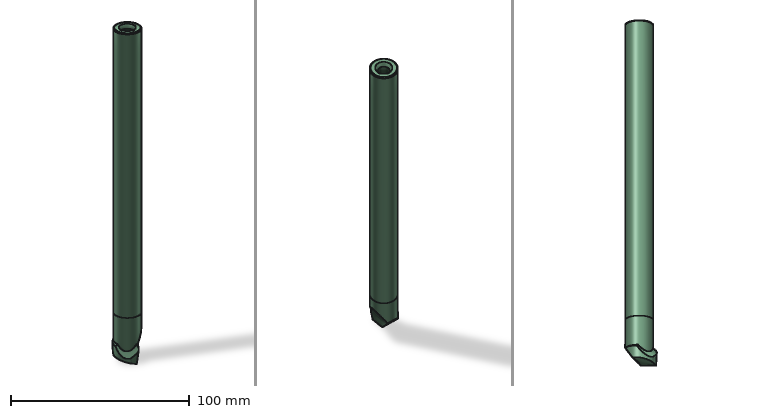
import cadquery as cq

total_length = 204.5
shank_diameter = 16.0
shank_radius = shank_diameter / 2
head_length = 28.2
shank_length = total_length - head_length
end_chamfer = 0.6

bore_diameter = 6.5
mouth_diameter = 9.6
mouth_depth = 2.2

tip_x = 10.2
nose_radius = 9.0
nose_offset = tip_x - nose_radius
nose_flare_top = 11.0
nose_flare_height = 2.9

relief_top_z = 21.0
rake_top_y = 1.8
rake_top_z = 10.2
rake_round = 10.2

bevel_top_z = 13.0
bevel_bottom_x = 1.8

end_rise_x = 0.12
end_rise_y = 0.23

flank_fall = 0.2

shoulder_point = (9.0, 1.0, 9.5)
shoulder_normal = (1.2, -0.8, 0.8)

margin = 20.5


def make_shank():
    """Round bar with a chamfered free end and a through bore closed by the head."""
    bar = (
        cq.Workplane("XY", origin=(0, 0, head_length))
        .circle(shank_radius)
        .extrude(shank_length)
        .faces(">Z")
        .chamfer(end_chamfer)
    )
    bore = (
        cq.Workplane("XY", origin=(0, 0, head_length))
        .circle(bore_diameter / 2)
        .extrude(shank_length)
    )
    mouth = cq.Workplane(
        cq.Solid.makeCone(
            bore_diameter / 2,
            mouth_diameter / 2,
            mouth_depth,
            cq.Vector(0, 0, total_length - mouth_depth),
        )
    )
    return bar.cut(bore).cut(mouth)


def make_nose():
    """Offset cylinder blended to the head by a 45 degree cone."""
    cylinder = (
        cq.Workplane("XY")
        .center(nose_offset, 0)
        .circle(nose_radius)
        .extrude(nose_flare_top)
    )
    flare_radius = shank_radius + nose_flare_height
    flare_bottom = nose_flare_top - nose_flare_height
    envelope = (
        cq.Workplane("XZ")
        .moveTo(0, 0)
        .lineTo(flare_radius, 0)
        .lineTo(flare_radius, flare_bottom)
        .lineTo(shank_radius, nose_flare_top)
        .lineTo(0, nose_flare_top)
        .close()
        .revolve(360, (0, 0, 0), (0, 1, 0))
    )
    return cylinder.intersect(envelope)


def make_chip_relief():
    """Material removed on the +Y side to form the rake face through the axis."""
    return (
        cq.Workplane("YZ", origin=(-margin, 0, 0))
        .moveTo(0, 0)
        .lineTo(rake_top_y, rake_top_z)
        .lineTo(shank_radius, relief_top_z)
        .lineTo(margin, relief_top_z)
        .lineTo(margin, 0)
        .close()
        .extrude(2 * margin)
        .edges(cq.selectors.NearestToPointSelector((0, rake_top_y, rake_top_z)))
        .fillet(rake_round)
    )


def make_side_bevel():
    """Wedge removed on the -X side."""
    return (
        cq.Workplane("XZ", origin=(0, margin, 0))
        .moveTo(-shank_radius, bevel_top_z)
        .lineTo(bevel_bottom_x, 0)
        .lineTo(-margin, 0)
        .lineTo(-margin, bevel_top_z)
        .close()
        .extrude(2 * margin)
    )


def make_block_beyond(point, normal):
    """Block lying on the outer side of the plane through a point."""
    plane = cq.Plane(origin=point, normal=normal)
    return cq.Workplane(plane).rect(4 * margin, 4 * margin).extrude(margin)


def make_clearances():
    """Blocks removed below the end face and beyond the flank."""
    tip = (tip_x, 0, 0)
    return [
        make_block_beyond(tip, (-end_rise_x, -end_rise_y, -1)),
        make_block_beyond(tip, (1, -flank_fall, 0)),
    ]


def make_shoulder():
    """Block removed from the nose above the flank."""
    return make_block_beyond(shoulder_point, shoulder_normal)


def make_head():
    """Cutting head below the shank."""
    nose = make_nose().cut(make_shoulder())
    head = cq.Workplane("XY").circle(shank_radius).extrude(head_length).union(nose)
    head = head.cut(make_chip_relief()).cut(make_side_bevel())
    for clearance in make_clearances():
        head = head.cut(clearance)
    return head


shank = make_shank()
head = make_head()
result = cq.Compound.makeCompound([*shank.solids().vals(), *head.solids().vals()])